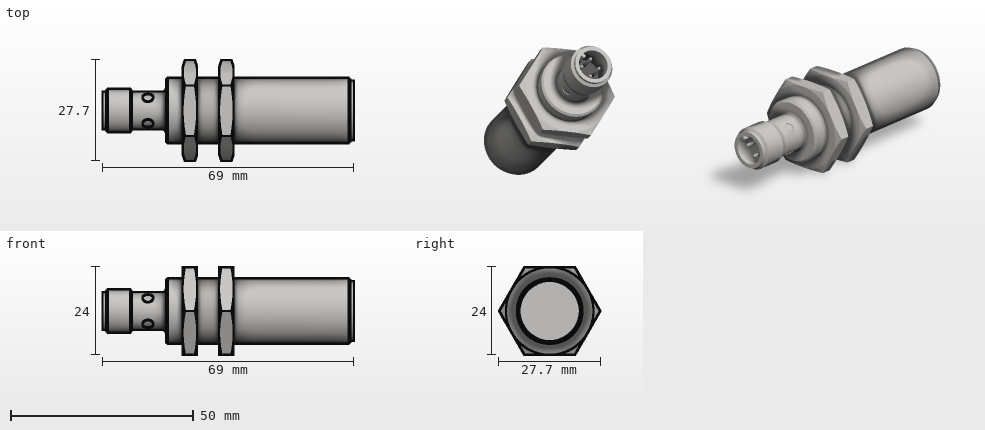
import cadquery as cq
import math

TOTAL_LENGTH = 69.0

NECK_DIAMETER = 10.5
THREAD_DIAMETER = 12.0
THREAD_START = 1.0
THREAD_END = 8.15
THREAD_CHAMFER_LENGTH = 0.55
NECK_FILLET = 0.7

BARREL_DIAMETER = 18.0
BARREL_START = 17.4
BARREL_CHAMFER = 0.55
CAP_DIAMETER = 16.55
CAP_LENGTH = 1.05

SOCKET_DIAMETER = 8.3
SOCKET_DEPTH = 8.15
PIN_COUNT = 4
PIN_DIAMETER = 1.0
PIN_OFFSET = 2.5
PIN_TIP_X = 2.0
PIN_TIP_TAPER_LENGTH = 0.55
PIN_TIP_DIAMETER = 0.5
KEY_WIDTH = PIN_DIAMETER
KEY_TIP_X = 0.6

WINDOW_COUNT = 4
WINDOW_DIAMETER = 3.0
WINDOW_X = 12.5
WINDOW_DEPTH = 0.2

NUT_ACROSS_FLATS = 24.0
NUT_THICKNESS = 4.0
NUT_STARTS = (22.0, 32.0)
NUT_CORNER_CHAMFER = 0.6


def x_cylinder(diameter, start, end):
    """Cylinder on the X axis between two X positions."""
    return cq.Workplane("YZ", origin=(start, 0, 0)).circle(diameter / 2).extrude(end - start)


def make_shell():
    """Turned outside of the connector and barrel."""
    neck_radius = NECK_DIAMETER / 2
    thread_radius = THREAD_DIAMETER / 2
    barrel_radius = BARREL_DIAMETER / 2
    cap_radius = CAP_DIAMETER / 2
    cap_start = TOTAL_LENGTH - CAP_LENGTH
    fillet_mid = NECK_FILLET * math.sqrt(0.5)
    fillet_center_x = BARREL_START - NECK_FILLET
    fillet_center_r = neck_radius + NECK_FILLET
    return (
        cq.Workplane("XY")
        .moveTo(0, 0)
        .lineTo(0, neck_radius)
        .lineTo(THREAD_START, neck_radius)
        .lineTo(THREAD_START + THREAD_CHAMFER_LENGTH, thread_radius)
        .lineTo(THREAD_END - THREAD_CHAMFER_LENGTH, thread_radius)
        .lineTo(THREAD_END, neck_radius)
        .lineTo(fillet_center_x, neck_radius)
        .threePointArc(
            (fillet_center_x + fillet_mid, fillet_center_r - fillet_mid),
            (BARREL_START, fillet_center_r),
        )
        .lineTo(BARREL_START, barrel_radius - BARREL_CHAMFER)
        .lineTo(BARREL_START + BARREL_CHAMFER, barrel_radius)
        .lineTo(cap_start - BARREL_CHAMFER, barrel_radius)
        .lineTo(cap_start, barrel_radius - BARREL_CHAMFER)
        .lineTo(cap_start, cap_radius)
        .lineTo(TOTAL_LENGTH, cap_radius)
        .lineTo(TOTAL_LENGTH, 0)
        .close()
        .revolve(360, (0, 0, 0), (1, 0, 0))
    )


def make_pins():
    """Contact pins standing on the socket floor, with tapered tips."""
    radius = PIN_DIAMETER / 2
    pin = (
        cq.Workplane("XY")
        .moveTo(PIN_TIP_X, 0)
        .lineTo(PIN_TIP_X, PIN_TIP_DIAMETER / 2)
        .lineTo(PIN_TIP_X + PIN_TIP_TAPER_LENGTH, radius)
        .lineTo(SOCKET_DEPTH, radius)
        .lineTo(SOCKET_DEPTH, 0)
        .close()
        .revolve(360, (0, 0, 0), (1, 0, 0))
        .translate((0, PIN_OFFSET, 0))
    )
    return [pin.rotate((0, 0, 0), (1, 0, 0), 360 / PIN_COUNT * i) for i in range(PIN_COUNT)]


def make_key():
    """Round-nosed coding rib along the socket wall, on the +Y +Z diagonal."""
    nose_radius = PIN_OFFSET * math.sqrt(2)
    length = SOCKET_DEPTH - KEY_TIP_X
    wall_radius = (SOCKET_DIAMETER + NECK_DIAMETER) / 4
    nose = cq.Workplane("YZ").center(nose_radius, 0).circle(KEY_WIDTH / 2).extrude(length)
    root = (
        cq.Workplane("YZ")
        .center((nose_radius + wall_radius) / 2, 0)
        .rect(wall_radius - nose_radius, KEY_WIDTH)
        .extrude(length)
    )
    return nose.union(root).rotate((0, 0, 0), (1, 0, 0), 45).translate((KEY_TIP_X, 0, 0))


def make_window_recesses():
    """Round cutters whose floors follow the neck surface."""
    neck_radius = NECK_DIAMETER / 2
    floor = x_cylinder(NECK_DIAMETER - 2 * WINDOW_DEPTH, 0, BARREL_START)
    cutter = (
        cq.Workplane("XY")
        .center(WINDOW_X, 0)
        .circle(WINDOW_DIAMETER / 2)
        .extrude(neck_radius)
        .cut(floor)
    )
    spacing = 360 / WINDOW_COUNT
    return [
        cutter.rotate((0, 0, 0), (1, 0, 0), spacing * (i + 0.5)) for i in range(WINDOW_COUNT)
    ]


def make_housing():
    housing = make_shell().cut(x_cylinder(SOCKET_DIAMETER, 0, SOCKET_DEPTH))
    for pin in make_pins():
        housing = housing.union(pin)
    housing = housing.union(make_key())
    for recess in make_window_recesses():
        housing = housing.cut(recess)
    return housing


def make_nut(start):
    """Hexagon nut with its corners turned down to the across-flats circle on both faces."""
    across_corners = NUT_ACROSS_FLATS / math.cos(math.pi / 6)
    flat_radius = NUT_ACROSS_FLATS / 2
    corner_radius = across_corners / 2
    corner_envelope = (
        cq.Workplane("XY")
        .moveTo(0, 0)
        .lineTo(0, flat_radius)
        .lineTo(NUT_CORNER_CHAMFER, corner_radius)
        .lineTo(NUT_THICKNESS - NUT_CORNER_CHAMFER, corner_radius)
        .lineTo(NUT_THICKNESS, flat_radius)
        .lineTo(NUT_THICKNESS, 0)
        .close()
        .revolve(360, (0, 0, 0), (1, 0, 0))
    )
    return (
        cq.Workplane("YZ")
        .polygon(6, across_corners)
        .extrude(NUT_THICKNESS)
        .intersect(corner_envelope)
        .cut(x_cylinder(BARREL_DIAMETER, 0, NUT_THICKNESS))
        .translate((start, 0, 0))
    )


housing = make_housing()
nuts = [make_nut(start) for start in NUT_STARTS]

result = cq.Compound.makeCompound([housing.val(), *[nut.val() for nut in nuts]])